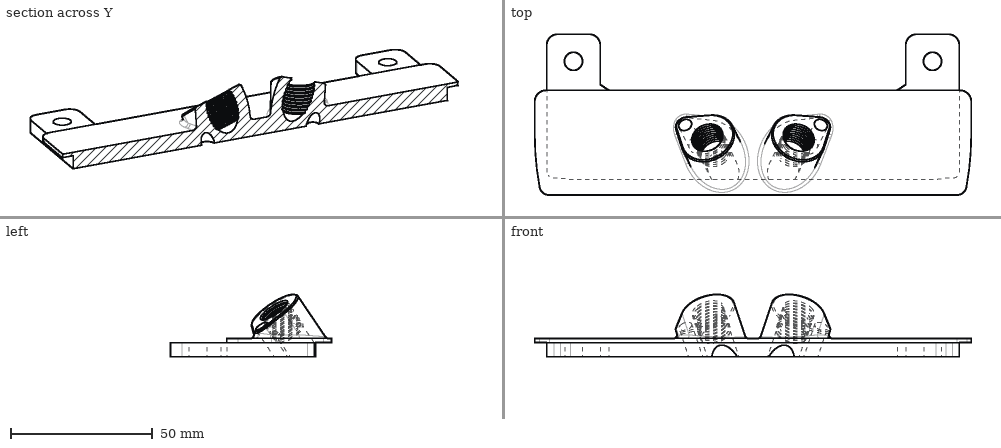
import cadquery as cq
import math

plate_length = 154.0
plate_depth = 37.0
plate_thickness = 1.5
base_thickness = 5.0
total_depth = 56.8
total_height = 22.08
plate_top = base_thickness + plate_thickness

plate_rear_radius = 4.0
plate_front_radius = 3.5
end_straight = 15.7
end_inset = 2.3

base_length = 145.6
base_front_y = -31.4
base_front_radius = 2.5
base_step_depth = 0.5
base_step_outer_x = 68.0
base_step_inner_x = 64.4

tab_width = 19.0
tab_corner_radius = 4.0
tab_hole_diameter = 6.3
tab_hole_from_end = 9.6
tab_gusset_width = 3.0
tab_gusset_depth = 2.0

socket_x = 16.1
socket_y = -16.7
socket_lean_back = 34.0
socket_lean_out = 18.5
socket_radius = 9.8
rim_chamfer = 0.5
foot_fillet = 1.3

lobe_offset_x = 7.8
lobe_offset_y = 4.45
lobe_radius = 3.7
lobe_hole_diameter = 4.7

bore_diameter = 10.58
groove_diameter = 11.4
groove_pitch = 1.25
groove_count = 8

through_length = 40.0

seat_depth = plate_thickness / 2

slope_x = math.tan(math.radians(socket_lean_out))
slope_y = math.tan(math.radians(socket_lean_back))
tilt = math.atan(math.hypot(slope_x, slope_y))
socket_z = total_height - (socket_radius - rim_chamfer) * math.sin(tilt)
lobe_offset_z = -slope_x * lobe_offset_x - slope_y * lobe_offset_y
lobe_distance = math.hypot(lobe_offset_x, lobe_offset_y, lobe_offset_z)
face_plane = cq.Plane(
    origin=(socket_x, socket_y, socket_z),
    xDir=(lobe_offset_x, lobe_offset_y, lobe_offset_z),
    normal=(slope_x, slope_y, 1),
)


def make_plate():
    rear_x = plate_length / 2
    front_x = rear_x - end_inset
    arc_depth = plate_depth - end_straight
    arc_radius = (arc_depth**2 + end_inset**2) / (2 * end_inset)
    mid_drop = arc_depth / 2
    mid_x = rear_x - arc_radius + math.sqrt(arc_radius**2 - mid_drop**2)
    mid_y = -end_straight - mid_drop
    plate = (
        cq.Workplane("XY", origin=(0, 0, base_thickness))
        .moveTo(-rear_x, 0)
        .lineTo(rear_x, 0)
        .lineTo(rear_x, -end_straight)
        .threePointArc((mid_x, mid_y), (front_x, -plate_depth))
        .lineTo(-front_x, -plate_depth)
        .threePointArc((-mid_x, mid_y), (-rear_x, -end_straight))
        .close()
        .extrude(plate_thickness)
    )
    plate = plate.edges("|Z and >Y").fillet(plate_rear_radius)
    return plate.edges("|Z and <Y").fillet(plate_front_radius)


def make_base():
    """Base block with its two tabs, built as one half and mirrored."""
    outer_x = base_length / 2
    tab_inner_x = outer_x - tab_width
    tab_end_y = total_depth - plate_depth
    step_y = base_front_y + base_step_depth
    right_outline = [
        (0, 0),
        (tab_inner_x - tab_gusset_width, 0),
        (tab_inner_x, tab_gusset_depth),
        (tab_inner_x, tab_end_y),
        (outer_x, tab_end_y),
        (outer_x, step_y),
        (base_step_outer_x, step_y),
        (base_step_inner_x, base_front_y),
        (0, base_front_y),
    ]
    half = cq.Workplane("XY").polyline(right_outline).close().extrude(base_thickness)
    half = half.edges("|Z and >Y").fillet(tab_corner_radius)
    half = half.edges("|Z and >X").edges("<Y").fillet(base_front_radius)
    hole = (
        cq.Workplane("XY")
        .center(outer_x - tab_width / 2, tab_end_y - tab_hole_from_end)
        .circle(tab_hole_diameter / 2)
        .extrude(base_thickness)
    )
    half = half.cut(hole)
    return half.union(half.mirror("YZ"))


def make_socket():
    """Teardrop outline (two circles and their common tangents) swept down the leaning axis."""
    tangent_cos = (socket_radius - lobe_radius) / lobe_distance
    tangent_sin = math.sqrt(1 - tangent_cos**2)
    big_x = socket_radius * tangent_cos
    big_y = socket_radius * tangent_sin
    small_x = lobe_distance + lobe_radius * tangent_cos
    small_y = lobe_radius * tangent_sin
    leaning = (
        cq.Workplane(face_plane)
        .moveTo(big_x, big_y)
        .lineTo(small_x, small_y)
        .threePointArc((lobe_distance + lobe_radius, 0), (small_x, -small_y))
        .lineTo(big_x, -big_y)
        .threePointArc((-socket_radius, 0), (big_x, big_y))
        .close()
        .extrude(-through_length)
    )
    face = leaning.faces(cq.selectors.NearestToPointSelector(face_plane.origin.toTuple()))
    leaning = face.edges().chamfer(rim_chamfer)
    space_above_plate = (
        cq.Workplane("XY", origin=(0, 0, plate_top - seat_depth))
        .rect(plate_length, 2 * plate_depth)
        .extrude(total_height)
    )
    return leaning.intersect(space_above_plate)


def fillet_socket_feet(body):
    """Round the edges where the sockets meet the top of the plate, inside the plate's border."""
    margin = 1.0
    inner_x = plate_length / 2 - end_inset - margin
    feet = cq.selectors.BoxSelector(
        (-inner_x, -plate_depth + margin, plate_top - seat_depth / 2),
        (inner_x, -margin, plate_top + seat_depth / 2),
    )
    return body.edges(feet).fillet(foot_fillet)


def make_grooved_bore():
    bore_radius = bore_diameter / 2
    groove_radius = groove_diameter / 2
    profile = cq.Workplane("XZ").lineTo(groove_radius, 0)
    for turn in range(groove_count):
        groove_z = -turn * groove_pitch
        profile = profile.lineTo(bore_radius, groove_z - groove_pitch / 2)
        profile = profile.lineTo(groove_radius, groove_z - groove_pitch)
    last_crest_z = -(groove_count + 0.5) * groove_pitch
    profile = profile.lineTo(bore_radius, last_crest_z)
    profile = profile.lineTo(bore_radius, -through_length).lineTo(0, -through_length)
    bore = profile.close().revolve(360, (0, 0, 0), (0, 1, 0))
    return cq.Workplane(bore.val().moved(cq.Location(face_plane)))


def make_lobe_hole():
    return (
        cq.Workplane(face_plane)
        .center(lobe_distance, 0)
        .circle(lobe_hole_diameter / 2)
        .extrude(-through_length)
    )


socket = make_socket()
cover = make_plate().union(socket).union(socket.mirror("YZ"))
cover = fillet_socket_feet(cover)

result = cover.union(make_base())
for opening in (make_grooved_bore(), make_lobe_hole()):
    result = result.cut(opening).cut(opening.mirror("YZ"))